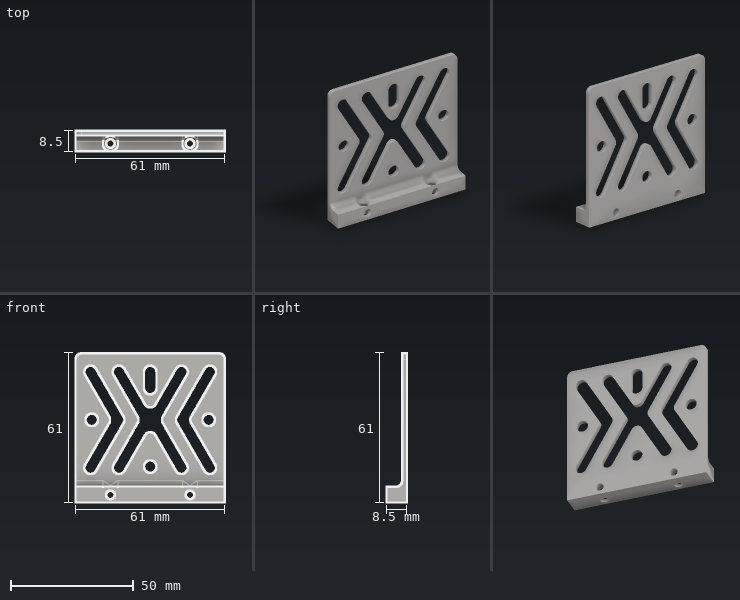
import cadquery as cq
import math

width = 61.0
height = 61.0
depth = 8.5
plate_thickness = 2.1
foot_height = 6.5
inner_fillet = 2.5
corner_radius = 2.5

slot_width = 5.0
slot_radius = slot_width / 2
pattern_z = 33.8
arm_rise = 19.6
arm_angle = 30.0
arm_run = arm_rise * math.tan(math.radians(arm_angle))
outer_arm_x = 24.35
inner_arm_x = 12.75
side_hole_x = 23.85
lower_hole_drop = 19.1
top_slot_length = 6.65

screw_x = 16.2
screw_positions = (-screw_x, screw_x)
screw_diameter = 3.4
front_hole_z = 3.2
countersink_diameter = 6.3
countersink_angle = 90.0
countersink_y = 3.2
countersink_step = (countersink_diameter - screw_diameter) / 2
countersink_depth = countersink_step / math.tan(math.radians(countersink_angle / 2))

plate_front_y = depth - plate_thickness


def through_y(x, z, diameter):
    """Round cutter along Y through the whole depth."""
    return cq.Workplane("XZ").center(x, z).circle(diameter / 2).extrude(-depth)


def straight_slot(start, end):
    """Round-ended cutter along Y between two (x, z) end centres."""
    dx = end[0] - start[0]
    dz = end[1] - start[1]
    length = math.hypot(dx, dz)
    return (
        cq.Workplane("XZ")
        .center((start[0] + end[0]) / 2, (start[1] + end[1]) / 2)
        .slot2D(length + slot_width, slot_width, math.degrees(math.atan2(dz, dx)))
        .extrude(-depth)
    )


def chevron(end_x):
    """Two arms running from x = end_x at top and bottom to a knee nearer the middle."""
    side = math.copysign(1, end_x)
    knee = (end_x - side * arm_run, pattern_z)
    upper = straight_slot((end_x, pattern_z + arm_rise), knee)
    lower = straight_slot((end_x, pattern_z - arm_rise), knee)
    return upper.union(lower)


def round_crotches(cutter, points):
    """Round the cutter's inward corners, given as (x, z) points."""
    for x, z in points:
        corner = cq.selectors.NearestToPointSelector((x, depth / 2, z))
        cutter = cutter.edges("|Y").edges(corner).fillet(slot_radius)
    return cutter


def countersunk_hole(x):
    """Vertical screw cutter through the foot, widening to its top face."""
    shank = cq.Workplane("XY", origin=(x, countersink_y, 0)).circle(screw_diameter / 2).extrude(foot_height)
    cone = cq.Solid.makeCone(
        screw_diameter / 2,
        countersink_diameter / 2,
        countersink_depth,
        pnt=cq.Vector(x, countersink_y, foot_height - countersink_depth),
    )
    return shank.union(cq.Workplane(cone))


body = (
    cq.Workplane("YZ")
    .polyline([
        (0, 0),
        (depth, 0),
        (depth, height),
        (plate_front_y, height),
        (plate_front_y, foot_height),
        (0, foot_height),
    ])
    .close()
    .extrude(width / 2, both=True)
)

for x in screw_positions:
    body = body.cut(countersunk_hole(x))

inner_corner = cq.selectors.NearestToPointSelector((0, plate_front_y, foot_height))
body = body.edges("|X").edges(inner_corner).fillet(inner_fillet)
body = body.edges("|Y and >Z").fillet(corner_radius)

arm_half_width_x = slot_radius / math.cos(math.radians(arm_angle))
arm_half_width_z = slot_radius / math.sin(math.radians(arm_angle))
outer_crotch_x = outer_arm_x - arm_run + arm_half_width_x
inner_crotch_x = inner_arm_x - arm_run + arm_half_width_x
x_crotch_rise = arm_half_width_z - (inner_arm_x - arm_run) / math.tan(math.radians(arm_angle))

for side in (-1, 1):
    outer = chevron(side * outer_arm_x)
    body = body.cut(round_crotches(outer, [(side * outer_crotch_x, pattern_z)]))

x_slot = chevron(-inner_arm_x).union(chevron(inner_arm_x))
x_slot = round_crotches(x_slot, [
    (-inner_crotch_x, pattern_z),
    (inner_crotch_x, pattern_z),
    (0, pattern_z + x_crotch_rise),
    (0, pattern_z - x_crotch_rise),
])
body = body.cut(x_slot)

top_z = pattern_z + arm_rise
body = body.cut(straight_slot((0, top_z), (0, top_z - top_slot_length)))

plate_holes = [
    (-side_hole_x, pattern_z),
    (side_hole_x, pattern_z),
    (0, pattern_z - lower_hole_drop),
]
for x, z in plate_holes:
    body = body.cut(through_y(x, z, slot_width))
for x in screw_positions:
    body = body.cut(through_y(x, front_hole_z, screw_diameter))

result = body.translate((0, -depth / 2, -height / 2))